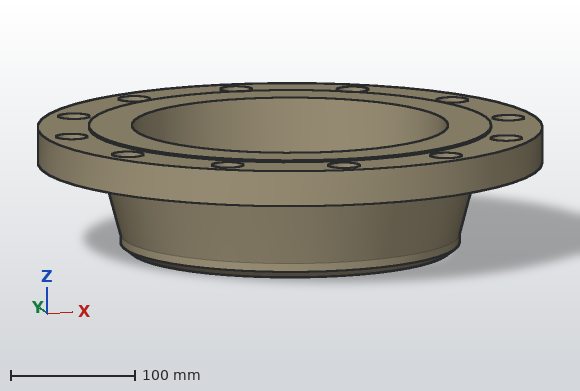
import cadquery as cq
import math


flange_diameter = 406.4
overall_height = 101.6
flange_thickness = 30.2
raised_face_diameter = 323.85
raised_face_height = 1.6

bore_diameter = 254.5
hub_base_diameter = 304.8
weld_end_diameter = 273.05
weld_neck_top = 12.7
weld_land = 1.6
weld_bevel_angle = 37.5
hub_fillet_radius = 9.525

bolt_circle_diameter = 361.95
bolt_hole_diameter = 25.4
bolt_count = 12

bore_radius = bore_diameter / 2
flange_radius = flange_diameter / 2
raised_face_radius = raised_face_diameter / 2
hub_base_radius = hub_base_diameter / 2
weld_end_radius = weld_end_diameter / 2
flange_top = overall_height - raised_face_height
flange_bottom = overall_height - flange_thickness
land_radius = bore_radius + weld_land
bevel_height = (weld_end_radius - land_radius) * math.tan(math.radians(weld_bevel_angle))


def hub_fillet_points():
    """Return start, middle and end (r, z) of the arc blending the taper into the disc."""
    taper = math.atan2(hub_base_radius - weld_end_radius, flange_bottom - weld_neck_top)
    turn = math.pi / 2 - taper
    tangent_length = hub_fillet_radius * math.tan(turn / 2)
    center_r = hub_base_radius + tangent_length
    center_z = flange_bottom - hub_fillet_radius

    def on_arc(angle_from_vertical):
        return (
            center_r - hub_fillet_radius * math.sin(angle_from_vertical),
            center_z + hub_fillet_radius * math.cos(angle_from_vertical),
        )

    return on_arc(turn), on_arc(turn / 2), on_arc(0)


def flange_body():
    """Revolve the half section, bore included, about Z."""
    fillet_start, fillet_middle, fillet_end = hub_fillet_points()
    return (
        cq.Workplane("XZ")
        .moveTo(bore_radius, 0)
        .lineTo(land_radius, 0)
        .lineTo(weld_end_radius, bevel_height)
        .lineTo(weld_end_radius, weld_neck_top)
        .lineTo(*fillet_start)
        .threePointArc(fillet_middle, fillet_end)
        .lineTo(flange_radius, flange_bottom)
        .lineTo(flange_radius, flange_top)
        .lineTo(raised_face_radius, flange_top)
        .lineTo(raised_face_radius, overall_height)
        .lineTo(bore_radius, overall_height)
        .close()
        .revolve(360, (0, 0, 0), (0, 1, 0))
    )


def bolt_holes():
    """Cylinders through the disc, equally spaced on the bolt circle from +X."""
    return (
        cq.Workplane("XY", origin=(0, 0, flange_bottom))
        .polarArray(bolt_circle_diameter / 2, 0, 360, bolt_count)
        .circle(bolt_hole_diameter / 2)
        .extrude(flange_thickness)
    )


result = flange_body().cut(bolt_holes())